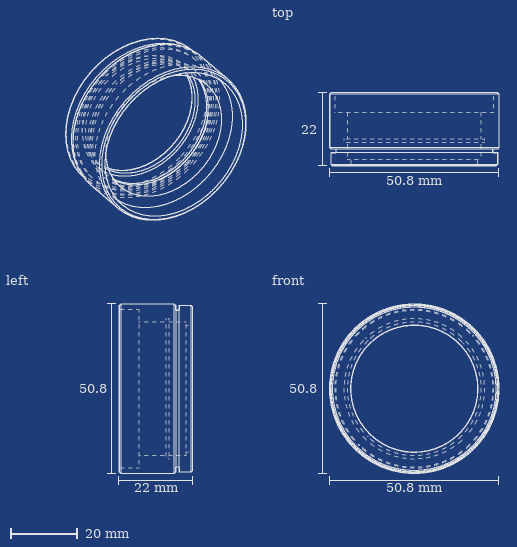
import cadquery as cq

outer_radius = 25.4
ring_width = 22.0
front_y = -ring_width / 2
back_y = ring_width / 2
edge_chamfer = 0.5

lip_radius = 25.0
lip_width = 4.0
outer_groove_radius = 23.5
groove_width = 1.0
groove_front_y = front_y + lip_width
body_front_y = groove_front_y + groove_width

front_bore_radius = 19.0
front_bore_depth = 2.0
main_bore_radius = 20.0
inner_groove_radius = 21.05
inner_groove_offset = 7.0
back_bore_radius = 23.75
back_bore_offset = 16.0
main_bore_front_y = front_y + front_bore_depth
inner_groove_front_y = front_y + inner_groove_offset
inner_groove_back_y = inner_groove_front_y + groove_width
back_bore_front_y = front_y + back_bore_offset


def disc(radius, start_y, end_y):
    """Solid cylinder about the Y axis between two Y positions."""
    plane = cq.Workplane("XZ", origin=(0, start_y, 0))
    return plane.circle(radius).extrude(start_y - end_y)


lip = disc(lip_radius, front_y, groove_front_y).faces("<Y").chamfer(edge_chamfer)
groove_core = disc(outer_groove_radius, groove_front_y, body_front_y)
body = disc(outer_radius, body_front_y, back_y).edges("%CIRCLE").chamfer(edge_chamfer)
ring = lip.union(groove_core).union(body)

ring = ring.cut(disc(front_bore_radius, front_y, main_bore_front_y))
ring = ring.cut(disc(main_bore_radius, main_bore_front_y, back_bore_front_y))
ring = ring.cut(disc(inner_groove_radius, inner_groove_front_y, inner_groove_back_y))
ring = ring.cut(disc(back_bore_radius, back_bore_front_y, back_y))

result = ring